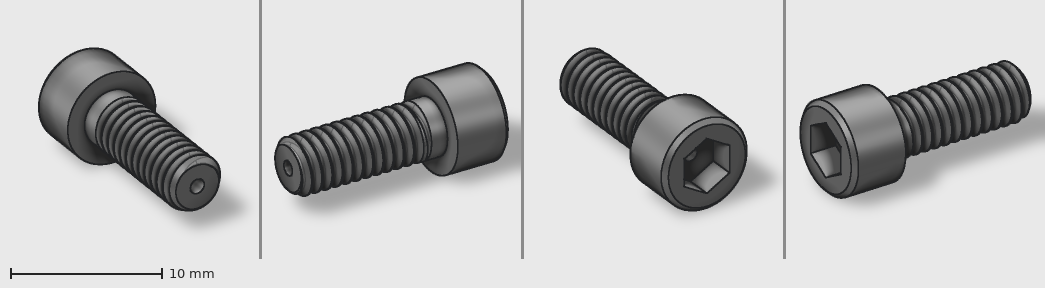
import cadquery as cq
import math

INCH = 25.4

total_length = 15.24
head_diameter = 6.76
head_height = 4.12
head_chamfer = 0.35

socket_across_flats = 9 / 64 * INCH
socket_depth = 2.0
bore_diameter = 1.06

thread_diameter = 0.164 * INCH
pitch = INCH / 32
flank_half_angle = math.radians(30)
sharp_thread_height = pitch * math.cos(flank_half_angle)
thread_depth = 17 / 24 * sharp_thread_height
flank_depth = 5 / 8 * sharp_thread_height
root_width = pitch / 4

thread_radius = thread_diameter / 2
root_radius = thread_radius - thread_depth
tip_chamfer = flank_depth

full_depth_angle = math.pi / 2
full_depth_x = 5.72
runout_angle = 0.75 * math.pi
radial_clearance = 0.05
sections_per_turn = 12


def groove_center_x(angle):
    """Axial position of the right-handed groove's centre line."""
    return full_depth_x + pitch * (angle - full_depth_angle) / (2 * math.pi)


def groove_floor_radius(angle):
    """Constant root radius, rising to the outside of the shank through the run-out."""
    missing_turn = max(0.0, full_depth_angle - angle)
    return root_radius + thread_depth * missing_turn / runout_angle


def groove_section(angle):
    """Groove outline in the axial plane at an angle: round root, straight flanks, open mouth."""
    floor_radius = groove_floor_radius(angle)
    flank_start_radius = floor_radius + thread_depth - flank_depth
    cutter_height = flank_depth + radial_clearance
    mouth_radius = flank_start_radius + cutter_height
    mouth_half_width = root_width / 2 + cutter_height * math.tan(flank_half_angle)
    center = groove_center_x(angle)

    def point(offset, radius):
        return cq.Vector(center + offset, radius * math.cos(angle), radius * math.sin(angle))

    left_root = point(-root_width / 2, flank_start_radius)
    right_root = point(root_width / 2, flank_start_radius)
    left_mouth = point(-mouth_half_width, mouth_radius)
    right_mouth = point(mouth_half_width, mouth_radius)
    return cq.Wire.assembleEdges([
        cq.Edge.makeThreePointArc(left_root, point(0, floor_radius), right_root),
        cq.Edge.makeLine(right_root, right_mouth),
        cq.Edge.makeLine(right_mouth, left_mouth),
        cq.Edge.makeLine(left_mouth, left_root),
    ])


def make_groove(start_angle, end_angle):
    """Solid that fills the groove between two angles."""
    steps = math.ceil((end_angle - start_angle) / (2 * math.pi) * sections_per_turn)
    step_angle = (end_angle - start_angle) / steps
    return cq.Solid.makeLoft([groove_section(start_angle + i * step_angle) for i in range(steps + 1)])


def make_body():
    """Head and plain shank, with the head rim and the tip chamfered."""
    head = cq.Workplane("YZ").circle(head_diameter / 2).extrude(head_height)
    head = head.faces("<X").chamfer(head_chamfer)
    shank = cq.Workplane("YZ").circle(thread_radius).extrude(total_length)
    shank = shank.faces(">X").chamfer(tip_chamfer)
    return head.union(shank)


def cut_thread(body):
    """Cut the run-out, then the full-depth groove turn by turn until it leaves the tip."""
    turn_count = math.ceil((total_length + pitch / 2 - full_depth_x) / pitch)
    grooves = [make_groove(full_depth_angle - runout_angle, full_depth_angle)]
    for turn in range(turn_count):
        start_angle = full_depth_angle + 2 * math.pi * turn
        grooves.append(make_groove(start_angle, start_angle + 2 * math.pi))
    return cq.Workplane(body.val().cut(*grooves))


def cut_socket(body):
    """Hexagonal socket with corners at +Z and -Z, and a bore through the whole screw."""
    across_corners = socket_across_flats / math.cos(math.pi / 6)
    hexagon = cq.Workplane("YZ").transformed(rotate=(0, 0, 90)).polygon(6, across_corners)
    bore = cq.Workplane("YZ").circle(bore_diameter / 2).extrude(total_length)
    return body.cut(hexagon.extrude(socket_depth)).cut(bore)


result = cut_thread(cut_socket(make_body()))